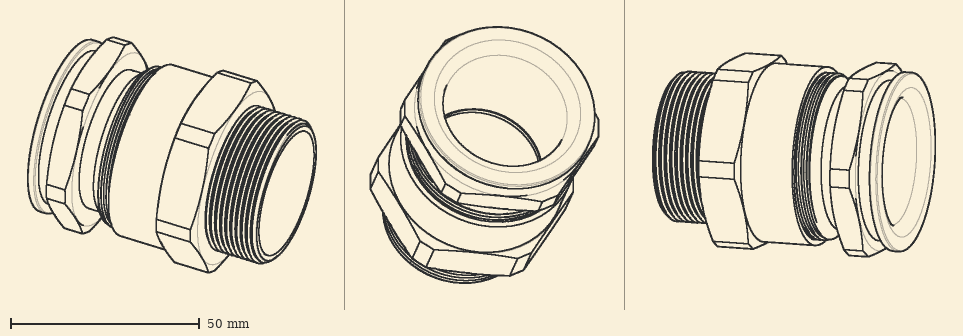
import cadquery as cq
import math


total_length = 64.73
across_flats = 48.0

flange_dia = 47.7
flange_end = 2.1
flange_edge_radius = 0.3
neck_dia = 42.67
screw_hex_start = 6.0
screw_hex_end = 13.0
screw_hex_corner_dia = 52.6
relief_dia = 38.43
relief_end = 17.2
screw_thread_core_dia = 43.15
screw_thread_dia = 44.5
screw_thread_crest = 20.5
screw_bore_dia = 33.75
trumpet_radius = 3.0

sleeve_start = 23.75
sleeve_dia = 47.52
body_hex_start = 38.2
body_hex_end = 49.85
body_hex_corner_dia = 52.92
body_thread_core_dia = 38.16
body_thread_dia = 40.0
body_thread_crest = 51.7
body_thread_chamfer = 0.5
body_bore_dia = 34.4

hex_face_dia = 47.9
hex_chamfer_angle = 18.0
thread_pitch = 1.5
thread_flank_angle = 30.0
thread_embed = 0.3

cavity_dia = screw_thread_dia
screw_end = sleeve_start + 10.0
washer_thickness = 1.5
washer_bore_dia = 33.3
plug_start = screw_end + washer_thickness
plug_length = 11.5
cavity_end = plug_start + plug_length


def cylinder(start, end, dia):
    """Solid cylinder on the X axis."""
    return cq.Workplane("YZ").workplane(offset=start).circle(dia / 2).extrude(end - start)


def revolve_profile(points):
    """Solid of revolution about the X axis from (x, radius) points."""
    outline = cq.Workplane("XY").polyline(points).close()
    return outline.revolve(360, (0, 0, 0), (1, 0, 0))


def hexagon(start, end, corner_dia):
    """Hexagon with two level flats, flattened corners and conical chamfers on both faces."""
    length = end - start
    plane = cq.Workplane("YZ").workplane(offset=start)
    turned_plane = plane.transformed(rotate=(0, 0, 30))
    flats = turned_plane.polygon(6, across_flats, circumscribed=True).extrude(length)
    corners = plane.polygon(6, corner_dia, circumscribed=True).extrude(length)

    face_radius = hex_face_dia / 2
    outer_radius = across_flats / math.sqrt(3)
    chamfer_depth = (outer_radius - face_radius) * math.tan(math.radians(hex_chamfer_angle))
    envelope = revolve_profile([
        (start, 0),
        (start, face_radius),
        (start + chamfer_depth, outer_radius),
        (end - chamfer_depth, outer_radius),
        (end, face_radius),
        (end, 0),
    ])
    return flats.intersect(corners).intersect(envelope)


def thread_ridge(core_dia, crest_dia, crest_position, start, end):
    """Right-handed triangular ridge, covering at least start to end along X."""
    base_radius = core_dia / 2 - thread_embed
    crest_radius = crest_dia / 2
    half_base = (crest_radius - base_radius) * math.tan(math.radians(thread_flank_angle))
    turns_before = math.ceil((crest_position - start) / thread_pitch) + 1
    first_crest = crest_position - turns_before * thread_pitch
    length = (math.ceil((end - first_crest) / thread_pitch) + 1) * thread_pitch

    helix = cq.Wire.makeHelix(thread_pitch, length, base_radius)
    section = cq.Workplane("XZ").polyline([
        (base_radius, -half_base),
        (crest_radius, 0),
        (base_radius, half_base),
    ]).close()
    ridge = section.sweep(cq.Workplane(helix), isFrenet=True)
    ridge = ridge.rotate((0, 0, 0), (0, 1, 0), 90).rotate((0, 0, 0), (1, 0, 0), 180)
    return ridge.translate((first_crest, 0, 0))


def make_pressure_screw():
    flange = cylinder(0, flange_end, flange_dia).edges().fillet(flange_edge_radius)
    neck = cylinder(flange_end, screw_hex_start, neck_dia)
    hex_head = hexagon(screw_hex_start, screw_hex_end, screw_hex_corner_dia)
    relief = cylinder(screw_hex_end, relief_end, relief_dia)

    relief_radius = relief_dia / 2

    def cone_and_cylinder(radius):
        return revolve_profile([
            (relief_end, 0),
            (relief_end, relief_radius),
            (relief_end + radius - relief_radius, radius),
            (screw_end, radius),
            (screw_end, 0),
        ])

    core = cone_and_cylinder(screw_thread_core_dia / 2)
    envelope = cone_and_cylinder(screw_thread_dia / 2)
    ridge = thread_ridge(screw_thread_core_dia, screw_thread_dia, screw_thread_crest, relief_end, screw_end)
    threaded_end = core.union(ridge.intersect(envelope))

    bore_radius = screw_bore_dia / 2
    mouth_radius = bore_radius + trumpet_radius
    arc_step = trumpet_radius * (1 - math.sqrt(0.5))
    bore = (
        cq.Workplane("XY")
        .moveTo(0, 0)
        .lineTo(0, mouth_radius)
        .threePointArc((arc_step, bore_radius + arc_step), (trumpet_radius, bore_radius))
        .lineTo(screw_end, bore_radius)
        .lineTo(screw_end, 0)
        .close()
        .revolve(360, (0, 0, 0), (1, 0, 0))
    )
    return flange.union(neck).union(hex_head).union(relief).union(threaded_end).cut(bore)


def make_gland_body():
    sleeve = cylinder(sleeve_start, body_hex_start, sleeve_dia)
    hex_head = hexagon(body_hex_start, body_hex_end, body_hex_corner_dia)

    core_radius = body_thread_core_dia / 2
    core = cylinder(body_hex_end, total_length, body_thread_core_dia)
    core = core.faces(">X").chamfer(body_thread_chamfer)
    crest_radius = body_thread_dia / 2
    envelope = revolve_profile([
        (body_hex_end, 0),
        (body_hex_end, crest_radius),
        (total_length - body_thread_chamfer - (crest_radius - core_radius), crest_radius),
        (total_length, core_radius - body_thread_chamfer),
        (total_length, 0),
    ])
    ridge = thread_ridge(body_thread_core_dia, body_thread_dia, body_thread_crest, body_hex_end, total_length)
    threaded_end = core.union(ridge.intersect(envelope))

    cavity = cylinder(sleeve_start, cavity_end, cavity_dia)
    bore = cylinder(cavity_end, total_length, body_bore_dia)
    return sleeve.union(hex_head).union(threaded_end).cut(cavity).cut(bore)


def make_washer():
    return cylinder(screw_end, plug_start, cavity_dia).cut(cylinder(screw_end, plug_start, washer_bore_dia))


def make_sealing_plug():
    return cylinder(plug_start, cavity_end, cavity_dia)


pressure_screw = make_pressure_screw()
gland_body = make_gland_body()
washer = make_washer()
sealing_plug = make_sealing_plug()

result = cq.Compound.makeCompound([
    pressure_screw.val(),
    gland_body.val(),
    washer.val(),
    sealing_plug.val(),
])